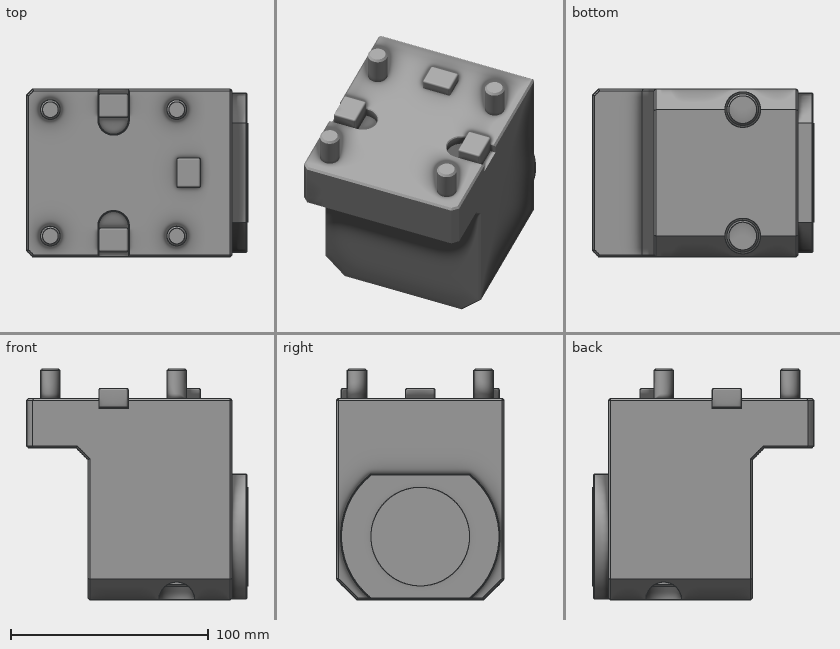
import cadquery as cq


body_length = 104.0
body_width = 85.0
body_height = 102.0
left_overhang = 44.0
ledge_length = 31.0
ledge_thickness = 25.0
notch_bevel = 6.0
corner_bevel = 3.0
edge_break = 1.0

screw_spacing = 64.0
screw_diameter = 10.0
screw_rise = 15.0
head_diameter = 16.0
head_height = screw_diameter
head_recess = 6.8
counterbore_diameter = 18.0

key_width = 15.0
key_length = 12.0
key_rise = 5.0
key_sink = key_rise
key_rounding = 1.0
key_floor_bevel = 0.7
key_inset = 2.5
slot_reach = 15.5
rim_break = 0.5

flange_diameter = 80.7
flange_height = 63.2
flange_thickness = 7.5
flange_above_base = 32.0
pilot_diameter = 50.0
pilot_thickness = 0.5

left = -left_overhang
right = left + body_length
block_left = left + ledge_length
base = -body_height
half_width = body_width / 2
half_spacing = screw_spacing / 2
base_bevel = half_width - half_spacing
ledge_bottom = -ledge_thickness
flange_z = base + flange_above_base
centre_key_x = half_spacing + key_length / 2
seat_z = base + head_recess + head_height


def is_broken(edge):
    """True for the body edges that carry the small edge break."""
    size = edge.BoundingBox()
    middle = edge.Center()
    upright = size.xlen < edge_break and size.zlen > edge_break
    ledge_corner = upright and middle.x < block_left - notch_bevel
    base_bevel_line = size.xlen > ledge_length and middle.z < ledge_bottom
    notch_fold = (
        size.ylen > screw_spacing
        and left + edge_break < middle.x < right - edge_break
        and base + edge_break < middle.z < -edge_break
    )
    return not (ledge_corner or base_bevel_line or notch_fold)


def make_body():
    body = (
        cq.Workplane("XZ")
        .moveTo(left, 0)
        .lineTo(right, 0)
        .lineTo(right, base)
        .lineTo(block_left, base)
        .lineTo(block_left, ledge_bottom - notch_bevel)
        .lineTo(block_left - notch_bevel, ledge_bottom)
        .lineTo(left, ledge_bottom)
        .close()
        .extrude(half_width, both=True)
    )
    body = body.faces("<Z").edges("|X").chamfer(base_bevel)
    body = body.faces("<X").edges("|Z").chamfer(corner_bevel)
    return body.edges().filter(is_broken).chamfer(edge_break)


def slot_plan(side, radius, z):
    """Outline of an open slot on one side (-1 or 1), grown to the given radius."""
    end_y = side * (half_width - slot_reach)
    mouth_y = side * (half_width + key_inset)
    return (
        cq.Workplane("XY", origin=(0, 0, z))
        .moveTo(-radius, mouth_y)
        .lineTo(-radius, end_y)
        .threePointArc((0, end_y - side * radius), (radius, end_y))
        .lineTo(radius, mouth_y)
        .close()
    )


def make_slot(side):
    slot = slot_plan(side, key_width / 2, -key_sink).extrude(key_sink)
    rim = slot_plan(side, key_width / 2 + rim_break, 0).extrude(-rim_break, taper=45)
    return slot.union(rim)


def make_key(size_x, size_y):
    """Round-edged key centred on the Z axis, with its floor at the slot depth."""
    return (
        cq.Workplane("XY", origin=(0, 0, -key_sink))
        .rect(size_x, size_y)
        .extrude(key_sink + key_rise)
        .edges("|Z or >Z")
        .fillet(key_rounding)
        .faces("<Z")
        .chamfer(key_floor_bevel)
    )


def make_screw_end():
    return (
        cq.Workplane("XY")
        .circle(screw_diameter / 2)
        .extrude(screw_rise)
        .faces(">Z")
        .chamfer(edge_break)
    )


def make_screw_head():
    return (
        cq.Workplane("XY", origin=(0, 0, seat_z))
        .circle(head_diameter / 2)
        .extrude(-head_height)
        .faces("<Z")
        .chamfer(edge_break)
    )


def make_counterbore():
    return (
        cq.Workplane("XY", origin=(0, 0, base))
        .circle(counterbore_diameter / 2)
        .extrude(seat_z - base)
    )


def make_flange():
    disc = (
        cq.Workplane("YZ", origin=(right, 0, flange_z))
        .circle(flange_diameter / 2)
        .extrude(flange_thickness)
    )
    between_flats = (
        cq.Workplane("YZ", origin=(right, 0, flange_z))
        .rect(flange_diameter, flange_height)
        .extrude(flange_thickness)
    )
    flange = disc.intersect(between_flats).faces(">X").chamfer(rim_break)
    pilot = (
        cq.Workplane("YZ", origin=(right + flange_thickness, 0, flange_z))
        .circle(pilot_diameter / 2)
        .extrude(pilot_thickness)
    )
    return flange.union(pilot)


result = make_body().union(make_flange())

side_key_y = half_width - key_inset - key_length / 2
for side in (-1, 1):
    result = result.cut(make_slot(side))
    side_key = make_key(key_width, key_length)
    result = result.union(side_key.translate((0, side * side_key_y, 0)))
centre_key = make_key(key_length, key_width)
result = result.union(centre_key.translate((centre_key_x, 0, 0)))

for side in (-1, 1):
    screw_y = side * half_spacing
    for screw_x in (-half_spacing, half_spacing):
        result = result.union(make_screw_end().translate((screw_x, screw_y, 0)))
    result = result.cut(make_counterbore().translate((half_spacing, screw_y, 0)))
    result = result.union(make_screw_head().translate((half_spacing, screw_y, 0)))